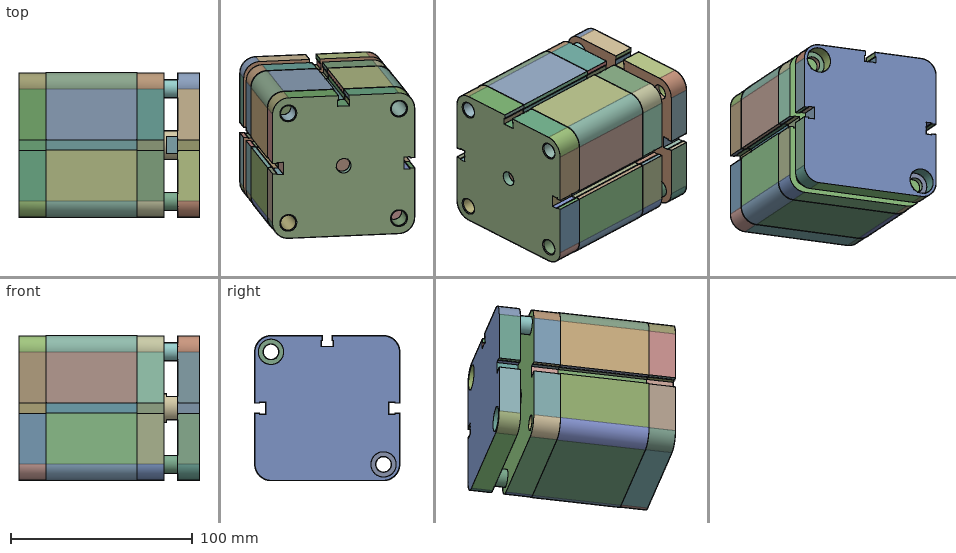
import cadquery as cq

cap_length = 15.0
housing_length = 80.0
total_length = 99.5
plate_thickness = 12.0
plate_start = total_length - plate_thickness

barrel_width = 80.0
barrel_step = 0.2
cap_width = barrel_width - 2 * barrel_step
cap_corner_radius = 9.0

slot_mouth_width = 5.8
slot_inner_width = 6.8
slot_lip_depth = 2.6
slot_depth = 6.0
slot_angles = (0, 90, -90)

hole_spacing = 62.0
hole_diameter = 8.5
hole_chamfer = 0.5
counterbore_diameter = 13.9
counterbore_floor = 3.5
pin_diameter = 10.0
pin_depth = cap_length
corner = hole_spacing / 2
pin_corners = [(corner, corner), (-corner, -corner)]
free_corners = [(-corner, corner), (corner, -corner)]

center_bore_diameter = 8.2
center_bore_depth = 4.5

rod_diameter = 16.0
rod_flat_width = 13.0
rod_collar_length = 1.3
rod_depth = cap_length
rod_end_chamfer = 0.2


def cylinder_along_x(start, length, diameter, y=0.0, z=0.0):
    """Solid cylinder running in +X from `start`, centred on (y, z)."""
    return cq.Workplane("YZ", origin=(start, y, z)).circle(diameter / 2).extrude(length)


def slot_cutter(start, length, width, clearance):
    """T-slot open to +Z, with its walls moved inward by `clearance`."""
    top = width / 2
    lip = cap_width / 2 - slot_lip_depth
    floor = cap_width / 2 - slot_depth + clearance
    mouth = slot_mouth_width / 2 - clearance
    inner = slot_inner_width / 2 - clearance
    outline = [
        (-mouth, top), (-mouth, lip), (-inner, lip), (-inner, floor),
        (inner, floor), (inner, lip), (mouth, lip), (mouth, top),
    ]
    return cq.Workplane("YZ", origin=(start, 0, 0)).polyline(outline).close().extrude(length)


def slotted_block(start, length, step=0.0):
    """Rounded square block with a T-slot on three sides, grown outward by `step`."""
    width = cap_width + 2 * step
    block = (
        cq.Workplane("YZ", origin=(start, 0, 0))
        .rect(width, width)
        .extrude(length)
        .edges("|X")
        .fillet(cap_corner_radius + step)
    )
    cutter = slot_cutter(start, length, width, step)
    for angle in slot_angles:
        block = block.cut(cutter.rotate((0, 0, 0), (1, 0, 0), angle))
    return block


def chamfered_hole(length, y, z):
    """Cutter for a corner hole entering the rear face through a 45 degree conical mouth."""
    hole = cylinder_along_x(0, length, hole_diameter, y, z)
    mouth = cq.Solid.makeCone(
        hole_diameter / 2 + hole_chamfer, hole_diameter / 2, hole_chamfer,
        pnt=cq.Vector(0, y, z), dir=cq.Vector(1, 0, 0),
    )
    return hole.union(cq.Workplane(mouth))


def counterbored_hole(y, z):
    """Cutter for a plate hole with its counterbore opening on the outer (+X) face."""
    hole = cylinder_along_x(plate_start, plate_thickness, hole_diameter, y, z)
    counterbore_start = plate_start + counterbore_floor
    depth = plate_thickness - counterbore_floor
    return hole.union(cylinder_along_x(counterbore_start, depth, counterbore_diameter, y, z))


def make_rod():
    """Piston rod from its bore in the front cap to the inner face of the plate."""
    start = housing_length - rod_depth
    rod = cylinder_along_x(start, plate_start - start, rod_diameter)
    rod = rod.faces(">X").chamfer(rod_end_chamfer)
    flats_start = housing_length + rod_collar_length
    flats_length = plate_start - flats_start
    for side in (1, -1):
        relief_center = (
            flats_start + flats_length / 2, 0, side * (rod_flat_width + rod_diameter) / 2,
        )
        relief = cq.Workplane("XY").box(flats_length, rod_diameter, rod_diameter)
        rod = rod.cut(relief.translate(relief_center))
    return rod


def make_pin(y, z):
    """Guide pin running from its bore in the front cap to the inner face of the plate."""
    start = housing_length - pin_depth
    return cylinder_along_x(start, plate_start - start, pin_diameter, y, z)


def make_housing():
    """Rear cap, barrel and front cap as one solid, with the corner holes and bores."""
    barrel_length = housing_length - 2 * cap_length
    front_cap_start = housing_length - cap_length
    body = slotted_block(0, cap_length)
    body = body.union(slotted_block(cap_length, barrel_length, barrel_step))
    body = body.union(slotted_block(front_cap_start, cap_length))
    for y, z in free_corners:
        body = body.cut(chamfered_hole(housing_length, y, z))
    for y, z in pin_corners:
        body = body.cut(chamfered_hole(cap_length, y, z))
        body = body.cut(make_pin(y, z))
    body = body.cut(cylinder_along_x(0, center_bore_depth, center_bore_diameter))
    return body.cut(cylinder_along_x(housing_length - rod_depth, rod_depth, rod_diameter))


def make_plate():
    """End plate with the cap cross-section and two counterbored screw holes."""
    body = slotted_block(plate_start, plate_thickness)
    for y, z in free_corners:
        body = body.cut(counterbored_hole(y, z))
    return body


housing = make_housing()
plate = make_plate()
rod = make_rod()
pins = [make_pin(y, z) for y, z in pin_corners]
result = cq.Compound.makeCompound([
    housing.val(),
    plate.val(),
    rod.val(),
    *[pin.val() for pin in pins],
])